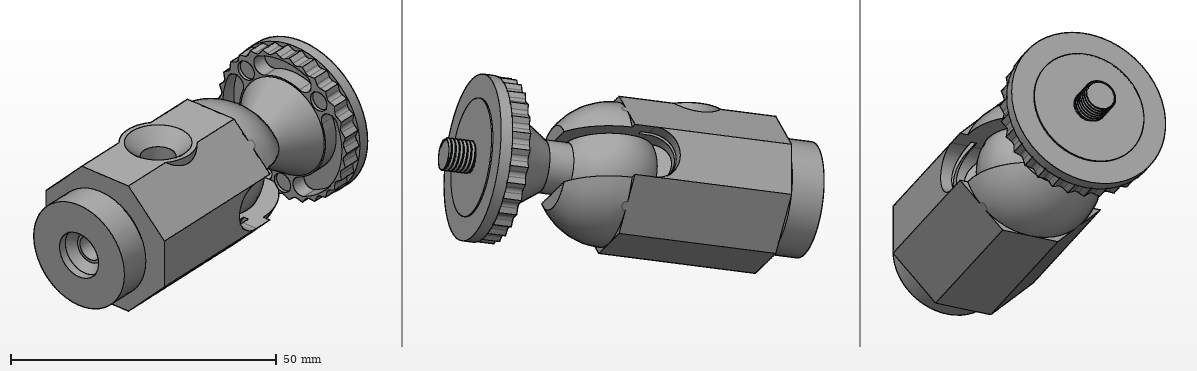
import cadquery as cq
import math


ball_radius = 10.2
neck_radius = 5.05

dome_radius = 13.83
dome_end = 11.25
apothem = dome_radius
flat_trim_radius = 0.95
diagonal_apothem = math.sqrt(dome_radius**2 - flat_trim_radius**2)
corner_sum = diagonal_apothem * math.sqrt(2)
half_width = corner_sum - neck_radius
housing_end = -31.4

slot_round_y = -4.04
floor_angle = 43.5
groove_outer_radius = 12.2
groove_inner_radius = 11.2
groove_top = -2.4

collar_radius = 9.36
knob_radius = 11.07
knob_start = -32.8
knob_end = -39.17

pilot_radius = 2.55
side_port_y = -15.65
side_boss_radius = 7.39
side_sink_radius = 6.38
side_bore_radius = 3.38
side_sink_bottom = apothem - (side_sink_radius - side_bore_radius)
side_bore_bottom = 3.8
side_pilot_bottom = -6.2

end_recess_radius = 4.76
end_recess_bottom = knob_end + 1.75
end_bore_radius = 3.13
end_sink_bottom = end_recess_bottom + end_recess_radius - end_bore_radius

neck_end = 13.65
cone_end = 21.33
cone_radius = 10.2
knurl_end = 25.03
wheel_radius = 15.875
wheel_end = 27.35
pad_radius = 11.3
pad_end = 27.62
stud_end = 33.1

tooth_count = 30
tooth_tip_radius = 15.71
tooth_depth = 0.72
tooth_root_radius = 1.1
tooth_flank_angle = math.radians(30)

recess_mid_radius = 12.5
recess_width = 4.0
pocket_depth = 3.2
hole_depth = 0.7
hole_angles = [45, 135, 270]
pocket_end_gap = 21.5

thread_radius = 3.175
thread_pitch = 0.794
thread_depth = 0.45


def polar(radius, degrees):
    """X and Z of a point on a circle around the Y axis."""
    angle = math.radians(degrees)
    return radius * math.cos(angle), radius * math.sin(angle)


def cylinder_y(radius, start, end, x=0.0, z=0.0):
    """Cylinder along Y from start up to end."""
    return cq.Workplane("XZ", origin=(x, start, z)).circle(radius).extrude(start - end)


def revolve_y(profile, y_offset=0.0):
    """Profile of (radius, height) points turned around an axis along Y."""
    turned = cq.Workplane("XY").polyline(profile).close()
    return turned.revolve(360, (0, 0, 0), (0, 1, 0)).translate((0, y_offset, 0))


def cone_y(start_radius, end_radius, start, end):
    return revolve_y([(0, start), (start_radius, start), (end_radius, end), (0, end)])


def make_ball():
    return cq.Workplane("XY").sphere(ball_radius)


def make_prism(end):
    """Eight-sided bar from the flat housing end up to the given Y."""
    side_half = corner_sum - half_width
    top_half = corner_sum - apothem
    upper = [(half_width, side_half), (top_half, apothem), (-top_half, apothem), (-half_width, side_half)]
    lower = [(-x, -z) for x, z in upper]
    outline = cq.Workplane("XZ", origin=(0, housing_end, 0)).polyline(upper + lower).close()
    return outline.extrude(housing_end - end)


def make_slot():
    """Slot for the neck, open to both sides, with rounded ends, plus the ring groove around the ball.

    A roof-shaped ridge below the ball stays solid and gives the slot ends sloping floors.
    """
    side_plane = cq.Workplane("YZ", origin=(0, slot_round_y, 0))
    slot_length = dome_end - slot_round_y
    slot = side_plane.circle(neck_radius).extrude(half_width, both=True)
    straight = side_plane.center(slot_length / 2, 0).rect(slot_length, 2 * neck_radius)
    slot = slot.union(straight.extrude(half_width, both=True))

    groove = cylinder_y(groove_outer_radius, -groove_outer_radius, groove_top)
    groove = groove.cut(cylinder_y(groove_inner_radius, -groove_outer_radius, groove_top))

    drop = half_width * math.tan(math.radians(floor_angle))
    roof = cq.Workplane("XY").polyline([(0, 0), (half_width, -drop), (-half_width, -drop)]).close()
    ridge = roof.extrude(groove_outer_radius, both=True)
    return slot.union(groove).cut(ridge)


def make_side_port():
    """Countersunk stepped hole into the side boss, along Z."""
    profile = [
        (0, apothem),
        (side_sink_radius, apothem),
        (side_bore_radius, side_sink_bottom),
        (side_bore_radius, side_bore_bottom),
        (pilot_radius, side_bore_bottom),
        (pilot_radius, side_pilot_bottom),
        (0, side_pilot_bottom),
    ]
    port = cq.Workplane("XZ", origin=(0, side_port_y, 0)).polyline(profile).close()
    return port.revolve(360, (0, 0, 0), (0, 1, 0))


def make_end_port():
    """Recessed, countersunk hole in the knob that runs into the side port."""
    port = cylinder_y(end_recess_radius, knob_end, end_recess_bottom)
    port = port.union(cone_y(end_recess_radius, end_bore_radius, end_recess_bottom, end_sink_bottom))
    return port.union(cylinder_y(pilot_radius, knob_end, side_port_y))


def make_housing():
    dome = cq.Workplane("XY").sphere(dome_radius).intersect(make_prism(dome_end))
    boss = cq.Workplane("XY", origin=(0, side_port_y, 0)).circle(side_boss_radius).extrude(apothem)
    body = make_prism(0).union(dome).union(boss)
    body = body.union(cylinder_y(collar_radius, knob_start, housing_end))
    body = body.union(cylinder_y(knob_radius, knob_end, knob_start))
    for hollow in (make_ball(), make_slot(), make_side_port(), make_end_port()):
        body = body.cut(hollow)
    return body


def make_knurl_groove():
    """V groove with a rounded root between two sharp teeth, centred on +X."""
    half_pitch = 180 / tooth_count
    tip_x, tip_z = polar(tooth_tip_radius, half_pitch)
    root_x = tip_x - tooth_depth
    arc_x = root_x + tooth_root_radius * (1 - math.cos(tooth_flank_angle))
    arc_z = tooth_root_radius * math.sin(tooth_flank_angle)
    return (
        cq.Workplane("XZ", origin=(0, cone_end, 0))
        .moveTo(wheel_radius, -tip_z)
        .lineTo(tip_x, -tip_z)
        .lineTo(arc_x, -arc_z)
        .threePointArc((root_x, 0), (arc_x, arc_z))
        .lineTo(tip_x, tip_z)
        .lineTo(wheel_radius, tip_z)
        .close()
        .extrude(cone_end - knurl_end)
    )


def make_round_recess(angle, depth):
    x, z = polar(recess_mid_radius, angle)
    return cylinder_y(recess_width / 2, cone_end, cone_end + depth, x, z)


def make_pocket(start, end):
    """Curved pocket with round ends; the angles locate the end centres."""
    inner = recess_mid_radius - recess_width / 2
    outer = recess_mid_radius + recess_width / 2
    middle = (start + end) / 2
    band = (
        cq.Workplane("XZ", origin=(0, cone_end, 0))
        .moveTo(*polar(outer, start))
        .threePointArc(polar(outer, middle), polar(outer, end))
        .lineTo(*polar(inner, end))
        .threePointArc(polar(inner, middle), polar(inner, start))
        .close()
        .extrude(-pocket_depth)
    )
    for angle in (start, end):
        band = band.union(make_round_recess(angle, pocket_depth))
    return band


def make_knurled_ring():
    ring = cylinder_y(tooth_tip_radius, cone_end, knurl_end)
    groove = make_knurl_groove()
    for i in range(tooth_count):
        ring = ring.cut(groove.rotate((0, 0, 0), (0, 1, 0), 360 / tooth_count * (i + 0.5)))
    next_angles = hole_angles[1:] + [hole_angles[0] + 360]
    for angle, next_angle in zip(hole_angles, next_angles):
        ring = ring.cut(make_round_recess(angle, hole_depth))
        ring = ring.cut(make_pocket(angle + pocket_end_gap, next_angle - pocket_end_gap))
    return ring


def make_thread():
    """Single-start V thread: its cross-section spirals from crest to root and back, twisted along Y."""
    length = stud_end - pad_end
    steps = 8
    crest_to_root = []
    for i in range(steps + 1):
        fraction = i / steps
        crest_to_root.append(polar(thread_radius - thread_depth * fraction, 180 * fraction))
    root_to_crest = [(x, -z) for x, z in reversed(crest_to_root)]
    section = cq.Workplane("XZ", origin=(0, pad_end, 0)).spline(crest_to_root)
    section = section.spline(root_to_crest[1:], includeCurrent=True).close()
    return section.twistExtrude(-length, -360 * length / thread_pitch)


def make_ball_stud():
    body = make_ball()
    body = body.union(cylinder_y(neck_radius, 0, neck_end))
    body = body.union(cone_y(neck_radius, cone_radius, neck_end, cone_end))
    body = body.union(make_knurled_ring())
    body = body.union(cylinder_y(wheel_radius, knurl_end, wheel_end))
    body = body.union(cylinder_y(pad_radius, wheel_end, pad_end))
    return body.union(make_thread())


housing = make_housing()
ball_stud = make_ball_stud()
result = cq.Compound.makeCompound([housing.val(), ball_stud.val()])